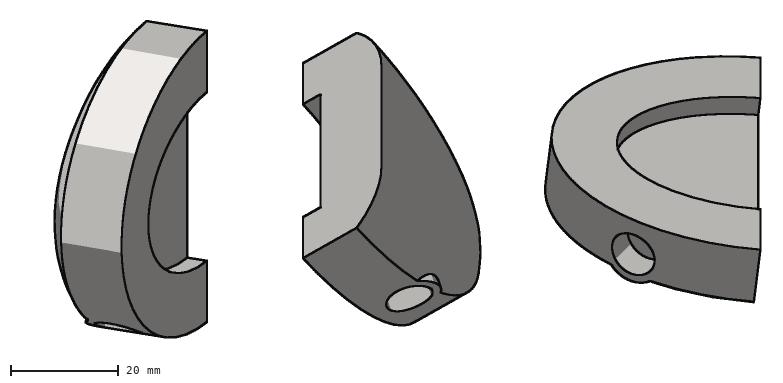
import cadquery as cq
import math

length = 39.0
height = 58.0
thickness = 18.0
turn_angle = 50.0

dome_radius = 20.0
dome_inset = 14.0

pocket_height = 33.6
pocket_depth = 4.0

bore_diameter = 9.0
bore_depth = 6.0
boss_diameter = 12.35
boss_reach = 15.1
bore_slope = 60.0
bore_height = -23.4
bore_offset = 7.8

half_height = height / 2
rim_wall = (height - pocket_height) / 2
pocket_length = length - rim_wall


def half_ellipse_arc(semi_length, semi_height):
    """Open half ellipse in the back plane, from its lowest point round the nose to its highest."""
    start = cq.Workplane("XZ").moveTo(0, -semi_height)
    return start.ellipseArc(semi_length, semi_height, -90, 90, startAtCurrent=True)


def half_ellipse(semi_length, semi_height, depth):
    """Half-elliptic slab growing from the back face, with its straight side on the end face."""
    return half_ellipse_arc(semi_length, semi_height).close().extrude(depth)


def dome_waste():
    """Corner left outside the dome rounding, swept along the rim."""
    crown_edge = dome_inset - half_height
    outer_edge = crown_edge - dome_radius
    arc_centre_y = dome_radius - thickness
    diagonal = dome_radius * math.sqrt(0.5)
    return (
        cq.Workplane("YZ")
        .moveTo(-thickness, crown_edge)
        .threePointArc((arc_centre_y - diagonal, crown_edge - diagonal), (arc_centre_y, outer_edge))
        .lineTo(-thickness, outer_edge)
        .close()
        .sweep(half_ellipse_arc(length, half_height))
    )


def bore_cylinder(diameter, reach):
    """Cylinder on the bore axis, reaching inwards from the rim and well clear outside it."""
    rim_x = length * math.sqrt(1 - (bore_height / half_height) ** 2)
    slope = math.radians(bore_slope)
    inwards = cq.Vector(-math.cos(slope), 0, math.sin(slope))
    rim_point = cq.Vector(rim_x, -bore_offset, bore_height)
    start = rim_point - inwards * diameter
    return cq.Workplane(cq.Solid.makeCylinder(diameter / 2, diameter + reach, start, inwards))


outline = half_ellipse(length, half_height, thickness)
body = outline.cut(dome_waste())

boss = bore_cylinder(boss_diameter, boss_reach).intersect(outline)
body = body.union(boss)

body = body.cut(half_ellipse(pocket_length, pocket_height / 2, pocket_depth))
body = body.cut(bore_cylinder(bore_diameter, bore_depth))

result = body.rotate((0, 0, 0), (0, 0, 1), -turn_angle)